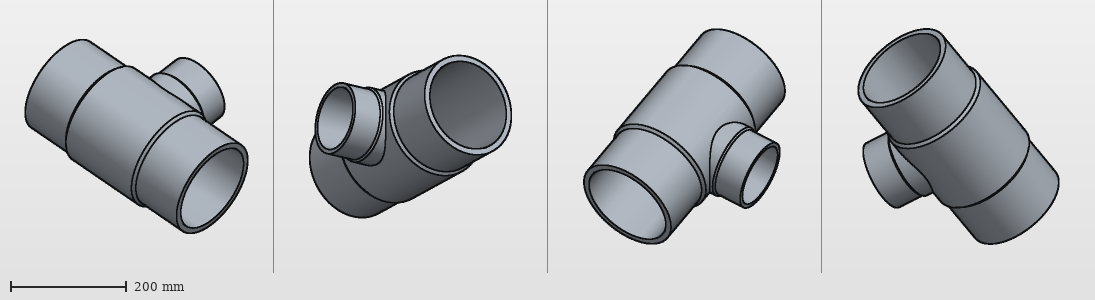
import cadquery as cq

pipe_length = 358.0
pipe_diameter = 180.0
bore_diameter = 158.5

sleeve_diameter = 190.8
sleeve_length = 165.8
sleeve_chamfer = (sleeve_diameter - pipe_diameter) / 2

branch_diameter = 125.0
branch_reach = 251.3 - sleeve_diameter / 2
branch_bore_diameter = 110.3
collar_diameter = 131.7
collar_reach = 104.5
collar_chamfer = (collar_diameter - branch_diameter) / 2


def cylinder_along_x(diameter, length):
    return cq.Workplane("YZ").circle(diameter / 2).extrude(length / 2, both=True)


def cylinder_along_y(diameter, reach):
    """Cylinder from the pipe axis out to the given reach in +Y."""
    return cq.Workplane("XZ").circle(diameter / 2).extrude(-reach)


pipe = cylinder_along_x(pipe_diameter, pipe_length)
sleeve = cylinder_along_x(sleeve_diameter, sleeve_length).edges("%CIRCLE").chamfer(sleeve_chamfer)

branch = cylinder_along_y(branch_diameter, branch_reach)
collar = cylinder_along_y(collar_diameter, collar_reach).faces(">Y").edges().chamfer(collar_chamfer)

main_bore = cylinder_along_x(bore_diameter, pipe_length)
branch_bore = cylinder_along_y(branch_bore_diameter, branch_reach)

result = pipe.union(sleeve).union(collar).union(branch).cut(main_bore).cut(branch_bore)